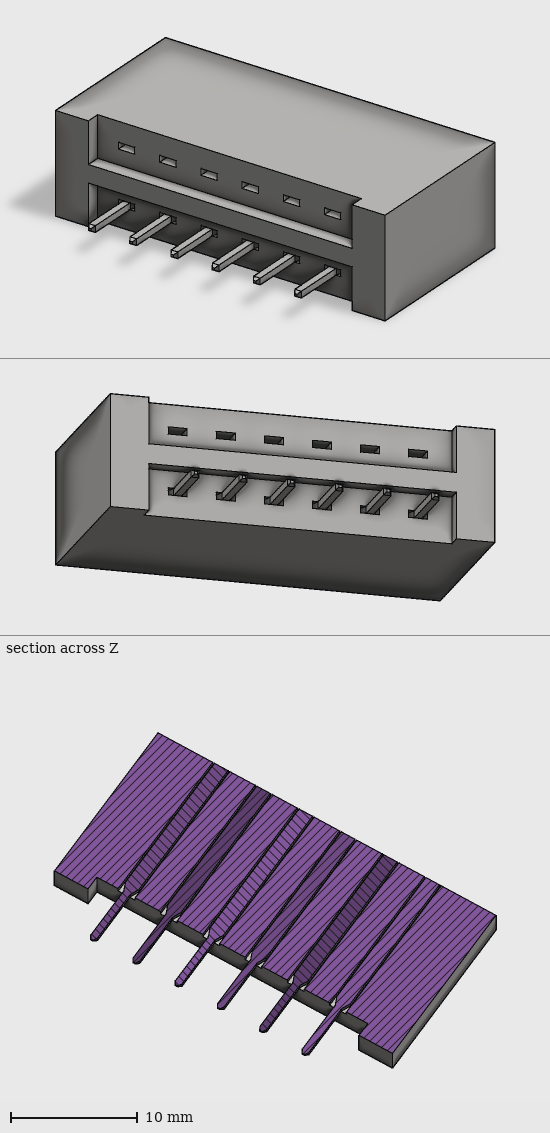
import cadquery as cq

housing_length = 31.65
housing_depth = 15.25
housing_height = 9.4

recess_length = 25.32
recess_depth = 1.3
rib_height = 1.65

contact_count = 6
contact_pitch = 3.95
row_spacing = 5.05
slot_width = 1.55
contact_thickness = 0.6

blade_width = 1.3
tail_width = 0.63
tail_projection = 3.8
shoulder_length = 0.75
shoulder_inset = 0.05
tip_length = 0.32
tip_inset = 0.2

contact_xs = [(i - (contact_count - 1) / 2) * contact_pitch for i in range(contact_count)]
upper_row_z = row_spacing / 2
lower_row_z = -row_spacing / 2


def box_from_front(length, depth, height):
    """Box centred on X and Z that runs from Y = 0 towards +Y."""
    return cq.Workplane("XY").box(length, depth, height, centered=(True, False, True))


def make_housing():
    body = box_from_front(housing_length, housing_depth, housing_height)

    recess_height = (housing_height - rib_height) / 2
    recess_z = (rib_height + recess_height) / 2
    recess = box_from_front(recess_length, recess_depth, recess_height)
    for z in (recess_z, -recess_z):
        body = body.cut(recess.translate((0, 0, z)))

    slot = box_from_front(slot_width, housing_depth, contact_thickness)
    for z in (upper_row_z, lower_row_z):
        for x in contact_xs:
            body = body.cut(slot.translate((x, 0, z)))
    return body


def make_pin(x):
    shoulder_front_y = recess_depth + shoulder_inset
    shoulder_back_y = shoulder_front_y + shoulder_length
    tip_base_y = tip_length - tail_projection

    right_side = [
        (tail_width / 2, tip_base_y),
        (tail_width / 2, shoulder_front_y),
        (blade_width / 2, shoulder_back_y),
        (blade_width / 2, housing_depth),
    ]
    left_side = [(-side_x, y) for side_x, y in reversed(right_side)]
    shank = (
        cq.Workplane("XY")
        .polyline(right_side + left_side)
        .close()
        .extrude(contact_thickness / 2, both=True)
    )

    tip = (
        cq.Workplane("XZ", origin=(0, tip_base_y, 0))
        .rect(tail_width, contact_thickness)
        .workplane(offset=tip_length)
        .rect(tail_width - 2 * tip_inset, contact_thickness - 2 * tip_inset)
        .loft(ruled=True)
    )
    return shank.union(tip).translate((x, 0, lower_row_z))


housing = make_housing()
pins = [make_pin(x) for x in contact_xs]

result = cq.Compound.makeCompound([housing.val(), *[pin.val() for pin in pins]])